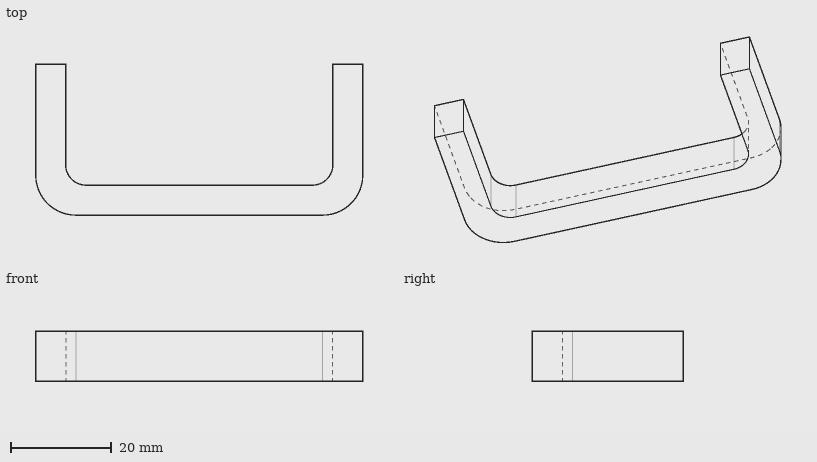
import cadquery as cq

width = 65.0
depth = 30.0
height = 10.0

bar_thickness = 6.0
outer_radius = 8.0
inner_radius = 4.0


def rounded_block(block_width, block_depth, corner_radius):
    """Block with its back face on Y = 0 and its two front upright edges rounded."""
    block = cq.Workplane("XY").box(block_width, block_depth, height, centered=(True, False, True))
    block = block.translate((0, -block_depth, 0))
    return block.edges("|Z and <Y").fillet(corner_radius)


outer_block = rounded_block(width, depth, outer_radius)

opening = rounded_block(width - 2 * bar_thickness, depth - bar_thickness, inner_radius)

result = outer_block.cut(opening)